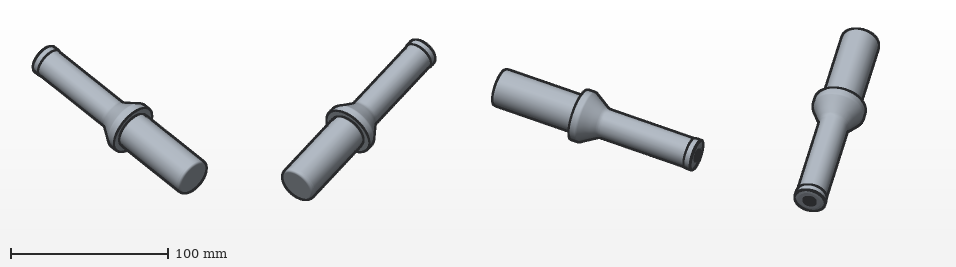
import cadquery as cq
import math

overall_length = 138.6

head_diameter = 20.4
head_face_diameter = 17.2
head_face_x = 0.1
rim_bevel_start = 0.4
rim_bevel_end = 0.8
rim_bevel_height = 0.3
tip_face_diameter = 14.7
head_taper_start = 4.2
joint_x = 5.4

recess_mouth_diameter = 8.0
recess_floor_diameter = 7.2
recess_depth = 0.4
counterbore_mouth_diameter = 5.5
counterbore_floor_diameter = 4.9
counterbore_depth = 0.8
centre_hole_mouth_diameter = 2.1
centre_hole_diameter = 1.1
centre_bevel_depth = 1.1
centre_hole_depth = 1.7

neck_diameter = 19.5
head_taper_end = 6.7
neck_corner_x = 65.5
neck_blend_radius = 5.5

collar_diameter = 34.0
collar_corner_x = 77.4
collar_blend_radius = 2.4
collar_back_x = 82.6
collar_bevel_length = 0.8
collar_bevel_height = 0.1

shank_diameter = 25.0
relief_diameter = 24.5
relief_length = 0.8
relief_ramp_length = 0.8
shank_taper_length = 0.8
shank_taper_height = 0.1
shank_round_radius = 1.7

neck_radius = neck_diameter / 2
head_radius = head_diameter / 2
collar_radius = collar_diameter / 2
shank_radius = shank_diameter / 2
relief_radius = relief_diameter / 2
taper_slope = (head_radius - neck_radius) / (head_taper_end - head_taper_start)
joint_radius = head_radius - taper_slope * (joint_x - head_taper_start)
shank_round_x = overall_length - shank_round_radius
shank_end_radius = shank_radius - shank_taper_height
cone_angle = math.atan2(collar_radius - neck_radius, collar_corner_x - neck_corner_x)


def blend_points(corner_x, radius, blend_radius, side):
    """Start, middle and end of an arc joining a cylinder line and the cone line.

    side is +1 when the arc centre lies outside the cylinder line, -1 when inside.
    The points run from the cylinder line to the cone line.
    """
    tangent = blend_radius * math.tan(cone_angle / 2)
    start_x = corner_x - side * tangent

    def point_at(angle):
        x = start_x + side * blend_radius * math.sin(angle)
        return x, radius + side * blend_radius * (1 - math.cos(angle))

    return point_at(0), point_at(cone_angle / 2), point_at(cone_angle)


def revolve_profile(profile):
    return profile.close().revolve(360, (0, 0, 0), (1, 0, 0))


def make_head():
    return revolve_profile(
        cq.Workplane("XY")
        .moveTo(centre_hole_depth, 0)
        .lineTo(centre_hole_depth, centre_hole_diameter / 2)
        .lineTo(centre_bevel_depth, centre_hole_diameter / 2)
        .lineTo(counterbore_depth, centre_hole_mouth_diameter / 2)
        .lineTo(counterbore_depth, counterbore_floor_diameter / 2)
        .lineTo(recess_depth, counterbore_mouth_diameter / 2)
        .lineTo(recess_depth, recess_floor_diameter / 2)
        .lineTo(0, recess_mouth_diameter / 2)
        .lineTo(0, tip_face_diameter / 2)
        .lineTo(head_face_x, head_face_diameter / 2)
        .lineTo(rim_bevel_start, head_radius - rim_bevel_height)
        .lineTo(rim_bevel_end, head_radius)
        .lineTo(head_taper_start, head_radius)
        .lineTo(joint_x, joint_radius)
        .lineTo(joint_x, 0)
    )


def make_holder():
    neck_start, neck_middle, neck_end = blend_points(
        neck_corner_x, neck_radius, neck_blend_radius, 1)
    collar_end, collar_middle, collar_start = blend_points(
        collar_corner_x, collar_radius, collar_blend_radius, -1)
    relief_end_x = collar_back_x + relief_length
    return revolve_profile(
        cq.Workplane("XY")
        .moveTo(joint_x, 0)
        .lineTo(joint_x, joint_radius)
        .lineTo(head_taper_end, neck_radius)
        .lineTo(*neck_start)
        .threePointArc(neck_middle, neck_end)
        .lineTo(*collar_start)
        .threePointArc(collar_middle, collar_end)
        .lineTo(collar_back_x - collar_bevel_length, collar_radius)
        .lineTo(collar_back_x, collar_radius - collar_bevel_height)
        .lineTo(collar_back_x, relief_radius)
        .lineTo(relief_end_x, relief_radius)
        .lineTo(relief_end_x + relief_ramp_length, shank_radius)
        .lineTo(shank_round_x - shank_taper_length, shank_radius)
        .lineTo(shank_round_x, shank_end_radius)
        .radiusArc((overall_length, shank_end_radius - shank_round_radius), shank_round_radius)
        .lineTo(overall_length, 0)
    )


head = make_head()
holder = make_holder()

result = cq.Compound.makeCompound([head.val(), holder.val()])